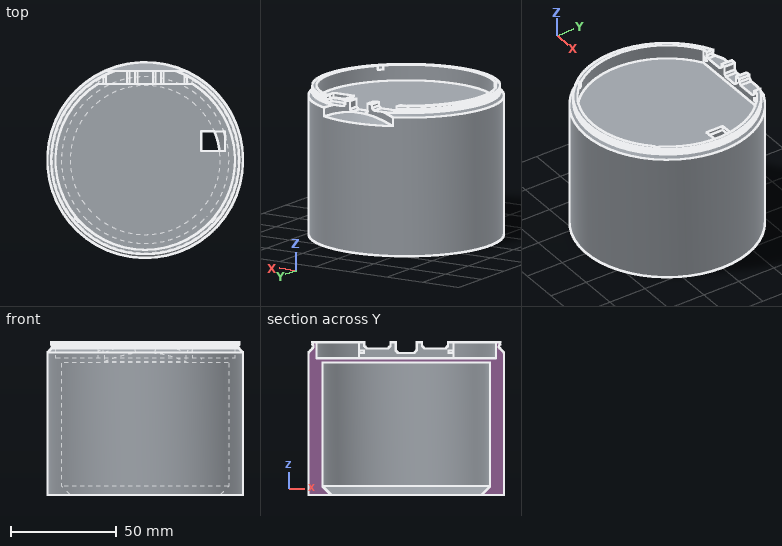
import cadquery as cq

body_diameter = 92.4
height = 72.1
body_radius = body_diameter / 2

lip_radius = 44.4
groove_radius = 87.6 / 2
lip_height = 1.1
groove_flat = 0.6
groove_flank = lip_radius - groove_radius
neck_land = 0.2
shoulder_chamfer = body_radius - lip_radius

recess_radius = 42.35
recess_depth = 7.5
floor_thickness = 2.2

cavity_radius = 78.91 / 2
cavity_mouth_radius = 35.3

wall_inner_y = 36.0
wall_outer_y = 42.0

center_notch_width = 9.8
center_notch_depth = 5.0
side_notch_center_x = 13.6
side_notch_width = 12.2
side_notch_depth = 2.9
notch_chamfer = 1.15

window_size_x = 11.2
window_size_y = 9.2
window_center_x = 32.1
window_center_y = 9.0

rim_notch_angle = 41.0
rim_notch_width = 2.7
rim_notch_outer_radius = 85.62 / 2
rim_notch_depth = 2.0

socket_center_x = 21.0
socket_width = 2.2
socket_height = 1.3
socket_depth = 1.0
socket_bottom_z = 66.9

rim_notch_inner_radius = recess_radius - rim_notch_width / 2
recess_floor_z = height - recess_depth
cavity_top_z = recess_floor_z - floor_thickness
lip_bottom_z = height - lip_height
groove_top_z = lip_bottom_z - groove_flank
groove_bottom_z = groove_top_z - groove_flat
neck_top_z = groove_bottom_z - groove_flank
neck_bottom_z = neck_top_z - neck_land
shoulder_z = neck_bottom_z - shoulder_chamfer


def revolve_outline(outline):
    """Full turn of a closed (radius, z) outline about the Z axis."""
    return cq.Workplane("XZ").polyline(outline).close().revolve(360, (0, 0), (0, 1))


def make_body():
    """Revolved outer shape with snap groove and shoulder."""
    outline = [
        (0, 0),
        (body_radius, 0),
        (body_radius, shoulder_z),
        (lip_radius, neck_bottom_z),
        (lip_radius, neck_top_z),
        (groove_radius, groove_bottom_z),
        (groove_radius, groove_top_z),
        (lip_radius, lip_bottom_z),
        (lip_radius, height),
        (0, height),
    ]
    return revolve_outline(outline)


def make_cavity():
    """Round cavity, open at the bottom through a mouth that narrows at 45 degrees."""
    mouth_lip_height = cavity_radius - cavity_mouth_radius
    outline = [
        (0, 0),
        (cavity_mouth_radius, 0),
        (cavity_radius, mouth_lip_height),
        (cavity_radius, cavity_top_z),
        (0, cavity_top_z),
    ]
    return revolve_outline(outline)


def make_recess():
    """Round recess in the top, cut off flat by the rear wall."""
    disc = cq.Workplane("XY").workplane(offset=recess_floor_z).circle(recess_radius).extrude(recess_depth)
    front_half = (
        cq.Workplane("XY")
        .workplane(offset=recess_floor_z)
        .center(0, wall_inner_y - body_radius)
        .rect(body_diameter, body_diameter)
        .extrude(recess_depth)
    )
    return disc.intersect(front_half)


def make_rear_relief():
    """Material removed behind the rear wall, above a 45 degree conical slope."""
    slope_drop = body_radius - wall_outer_y
    outline = [
        (body_radius, shoulder_z - slope_drop),
        (wall_outer_y, shoulder_z),
        (wall_outer_y, height),
        (body_radius, height),
    ]
    ring = revolve_outline(outline)
    rear_side = (
        cq.Workplane("XY")
        .center(0, wall_outer_y + body_radius)
        .rect(body_diameter, body_diameter)
        .extrude(height)
    )
    return ring.intersect(rear_side)


def make_notch(center_x, width, depth):
    """Notch through the rear wall with chamfered bottom corners."""
    half = width / 2
    floor_z = height - depth
    outline = [
        (center_x - half, height),
        (center_x - half, floor_z + notch_chamfer),
        (center_x - half + notch_chamfer, floor_z),
        (center_x + half - notch_chamfer, floor_z),
        (center_x + half, floor_z + notch_chamfer),
        (center_x + half, height),
    ]
    return (
        cq.Workplane("XZ", origin=(0, wall_inner_y, 0))
        .polyline(outline)
        .close()
        .extrude(-(body_radius - wall_inner_y))
    )


def make_window():
    """Rectangular window through the floor into the cavity."""
    return (
        cq.Workplane("XY")
        .workplane(offset=cavity_top_z)
        .center(window_center_x, window_center_y)
        .rect(window_size_x, window_size_y)
        .extrude(floor_thickness)
    )


def make_rim_notch(angle):
    """Wedge that opens the rim inward, with its floor sloping down to the recess."""
    outline = [
        (rim_notch_inner_radius, height),
        (rim_notch_outer_radius, height),
        (recess_radius, height - rim_notch_depth),
        (rim_notch_inner_radius, height - rim_notch_depth),
    ]
    wedge = cq.Workplane("XZ").polyline(outline).close().extrude(rim_notch_width / 2, both=True)
    return wedge.rotate((0, 0, 0), (0, 0, 1), angle)


def make_socket(center_x):
    """Blind rectangular socket in the inner face of the rear wall."""
    block = cq.Workplane("XY").box(
        socket_width, socket_depth, socket_height, centered=(True, False, False)
    )
    return block.translate((center_x, wall_inner_y, socket_bottom_z))


result = make_body().cut(make_cavity()).cut(make_recess()).cut(make_rear_relief())
result = result.cut(make_notch(0, center_notch_width, center_notch_depth))
for side in (-1, 1):
    result = result.cut(make_notch(side * side_notch_center_x, side_notch_width, side_notch_depth))
    result = result.cut(make_socket(side * socket_center_x))
for angle in (-rim_notch_angle, rim_notch_angle - 180):
    result = result.cut(make_rim_notch(angle))
result = result.cut(make_window())